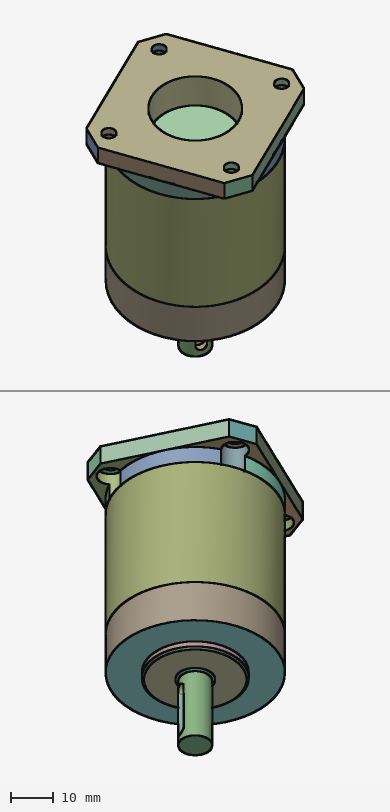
import cadquery as cq
total_height = 76
plate_thickness = 5.0
neck_height = 4.3
cover_height = 11.0
pilot_height = 2.0
shaft_length = 19

pilot_bottom = shaft_length
cover_bottom = pilot_bottom + pilot_height
ring_bottom = cover_bottom + cover_height
plate_bottom = total_height - plate_thickness
ring_top = plate_bottom - neck_height

plate_width = 42.0
plate_corner_cut = 5.0
body_diameter = plate_width
bore_diameter = 22.0
pilot_diameter = 25.1
pilot_chamfer = 0.5
shaft_diameter = 8.0
root_cone_height = 0.45
root_cone_flare = 0.7

bolt_spacing = 31.0
bolt_hole_diameter = 3.5
bolt_head_diameter = 6.5
bolt_seat_thickness = 2.05

keyway_length = 14.45
keyway_width = 3.0
keyway_depth = 1.8
keyway_bottom = 1.9
keyway_angle = -45


def cylinder(diameter, bottom, top):
    return cq.Workplane("XY").workplane(offset=bottom).circle(diameter / 2).extrude(top - bottom)


def bolt_cylinders(diameter, bottom, top):
    return (
        cq.Workplane("XY")
        .workplane(offset=bottom)
        .rect(bolt_spacing, bolt_spacing, forConstruction=True)
        .vertices()
        .circle(diameter / 2)
        .extrude(top - bottom)
    )


def make_flange():
    """Square mounting plate on a round neck, with a through bore and bolt-head pockets from below."""
    plate = (
        cq.Workplane("XY")
        .workplane(offset=plate_bottom)
        .rect(plate_width, plate_width)
        .extrude(plate_thickness)
        .edges("|Z")
        .chamfer(plate_corner_cut)
    )
    neck = cylinder(body_diameter, ring_top, plate_bottom)
    bolt_holes = bolt_cylinders(bolt_hole_diameter, plate_bottom, total_height)
    bolt_head_pockets = bolt_cylinders(bolt_head_diameter, ring_top, total_height - bolt_seat_thickness)
    bore = cylinder(bore_diameter, ring_top, total_height)
    return plate.union(neck).cut(bolt_holes).cut(bolt_head_pockets).cut(bore)


def make_ring_housing():
    """Plain round housing whose top face closes the bore of the flange."""
    return cylinder(body_diameter, ring_bottom, ring_top)


def make_keyway():
    """Round-ended slot cutter, sunk into the +X side of the shaft."""
    floor_radius = shaft_diameter / 2 - keyway_depth
    return (
        cq.Workplane("YZ")
        .workplane(offset=floor_radius)
        .center(0, keyway_bottom + keyway_length / 2)
        .slot2D(keyway_length, keyway_width, 90)
        .extrude(shaft_diameter)
    )


def make_output_cover():
    """End cover with its pilot boss and keyed output shaft on a conical root, turned to the keyway angle."""
    cover = cylinder(body_diameter, cover_bottom, ring_bottom)
    pilot = cylinder(pilot_diameter, pilot_bottom, cover_bottom).faces("<Z").chamfer(pilot_chamfer)
    shaft = cylinder(shaft_diameter, 0, pilot_bottom)
    root_cone = cq.Workplane(
        cq.Solid.makeCone(
            shaft_diameter / 2,
            shaft_diameter / 2 + root_cone_flare,
            root_cone_height,
            pnt=cq.Vector(0, 0, pilot_bottom - root_cone_height),
        )
    )
    turned_part = cover.union(pilot).union(root_cone).union(shaft).cut(make_keyway())
    return turned_part.rotate((0, 0, 0), (0, 0, 1), keyway_angle)


flange = make_flange()
ring_housing = make_ring_housing()
output_cover = make_output_cover()

result = cq.Compound.makeCompound([flange.val(), ring_housing.val(), output_cover.val()])